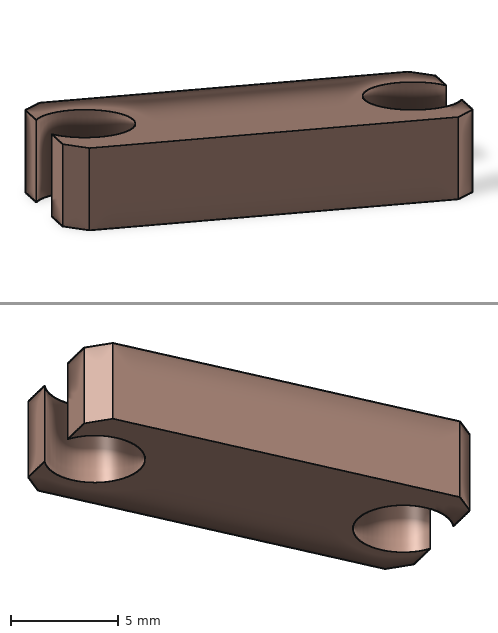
import cadquery as cq

length = 20.0
width = 8.0
thickness = 4.0
corner_chamfer = 1.0
socket_diameter = 4.7
socket_inset = 2.0

bar = cq.Workplane("XY").box(width, length, thickness)
bar = bar.edges("|Z").chamfer(corner_chamfer)

socket_offset = length / 2 - socket_inset
sockets = (
    cq.Workplane("XY")
    .pushPoints([(0, socket_offset), (0, -socket_offset)])
    .circle(socket_diameter / 2)
    .extrude(thickness / 2, both=True)
)

result = bar.cut(sockets)